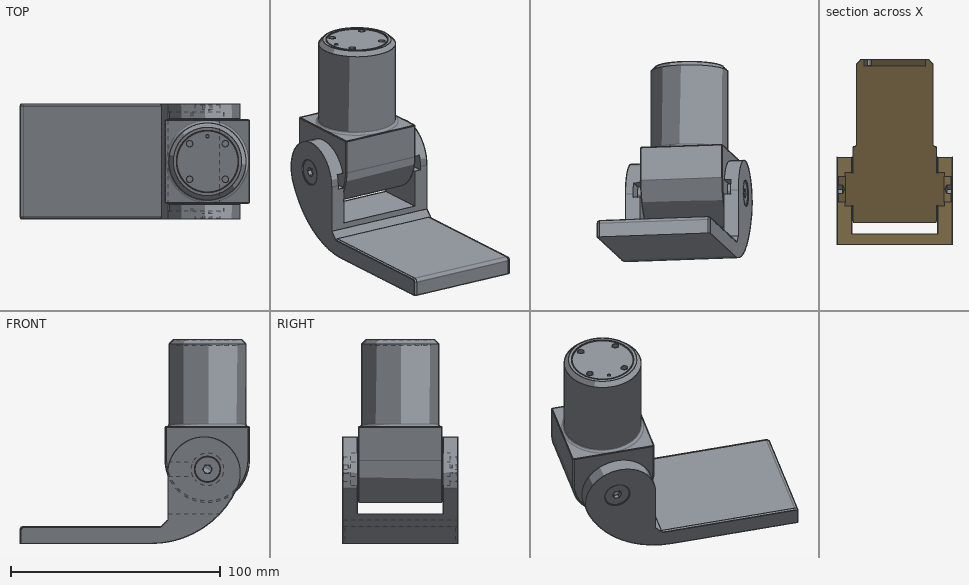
import cadquery as cq
import math


bracket_width = 55.0
plate_end_x = -89.5
plate_top_z = -27.3
plate_bottom_z = -35.5
ear_radius = 17.3
ear_center_x = -1.6
ear_center_z = -1.9
heel_radius = 45.0
inner_bevel = 3.1
plate_end_fillet = 1.6
plate_edge_chamfer = 0.5
window_width = 41.0
window_floor_z = -21.4
slot_height = 7.1

knuckle_width_y = 40.0
knuckle_left_x = -20.3
knuckle_right_x = 20.0
knuckle_top_z = 20.4
knuckle_round_center_z = 4.3
knuckle_rim_inset = 0.8
knuckle_rim_depth = 0.3
knuckle_top_chamfer = 0.3
trunnion_radius = 7.8
trunnion_length = 3.7
post_radius = 18.4
post_top_z = 62.0
post_top_chamfer = 2.1
post_foot_fillet = 1.2

cap_radius = 14.6
cap_thickness = 3.0
cap_hole_count = 4
cap_hole_start_angle = 45
cap_hole_radius = 1.5
cap_hole_circle_radius = 12.0
marker_hole_radius = 0.8

pin_radius = 5.9
socket_across_flats = 3.9
socket_depth = 2.2
socket_tip_depth = 0.8

mouth_bevel_width = 0.3
pin_mouth_depth = 0.4
cap_mouth_depth = 0.3

ear_outer_y = bracket_width / 2
trunnion_end_y = knuckle_width_y / 2 + trunnion_length
pin_head_y = ear_outer_y - pin_mouth_depth
pin_length = pin_head_y - trunnion_end_y
front_face_x = ear_center_x - ear_radius


def cylinder_y(radius, start_y, length):
    """Cylinder around the pivot axis, along +Y from start_y."""
    return cq.Workplane("XZ", origin=(0, start_y, 0)).circle(radius).extrude(-length)


def mouth(hole_radius, depth):
    """Plug that cuts a bevel at a hole mouth in the XY plane; the hole goes down."""
    return (
        cq.Workplane("XY")
        .circle(hole_radius + mouth_bevel_width)
        .workplane(offset=-depth)
        .circle(hole_radius)
        .loft()
    )


def bracket_profile():
    """Side outline; the heel arc is tangent to the plate bottom and to the ear circle."""
    heel_center_z = plate_bottom_z + heel_radius
    drop = ear_center_z - heel_center_z
    reach = math.sqrt((heel_radius - ear_radius) ** 2 - drop**2)
    heel_center_x = ear_center_x - reach
    tangent_angle = math.atan2(drop, reach)
    heel_mid_angle = (tangent_angle - math.pi / 2) / 2
    ear_mid_angle = (tangent_angle + math.pi) / 2

    def on_heel(angle):
        return (
            heel_center_x + heel_radius * math.cos(angle),
            heel_center_z + heel_radius * math.sin(angle),
        )

    ear_mid = (
        ear_center_x + ear_radius * math.cos(ear_mid_angle),
        ear_center_z + ear_radius * math.sin(ear_mid_angle),
    )
    return (
        cq.Workplane("XZ", origin=(0, ear_outer_y, 0))
        .moveTo(plate_end_x, plate_bottom_z)
        .lineTo(heel_center_x, plate_bottom_z)
        .threePointArc(on_heel(heel_mid_angle), on_heel(tangent_angle))
        .threePointArc(ear_mid, (front_face_x, ear_center_z))
        .lineTo(front_face_x, plate_top_z + inner_bevel)
        .lineTo(front_face_x - inner_bevel, plate_top_z)
        .lineTo(plate_end_x, plate_top_z)
        .close()
    )


def make_bracket():
    body = bracket_profile().extrude(bracket_width)

    body = body.faces("<X").edges(">Z").fillet(plate_end_fillet)
    body = body.faces("<X").edges("|Z").chamfer(plate_edge_chamfer)
    plate_middle_x = (plate_end_x + front_face_x) / 2
    for side in (-1, 1):
        edge_point = (plate_middle_x, side * ear_outer_y, plate_top_z)
        body = body.edges(cq.selectors.NearestToPointSelector(edge_point)).chamfer(plate_edge_chamfer)

    window_height = ear_center_z + ear_radius - window_floor_z
    window_length = 2 * heel_radius
    body = body.cut(
        cq.Workplane("XY", origin=(0, 0, window_floor_z))
        .rect(window_length, window_width)
        .extrude(window_height)
    )

    body = body.cut(cylinder_y(trunnion_radius, -trunnion_end_y, 2 * trunnion_end_y))
    body = body.cut(
        cq.Workplane("XY")
        .box(-front_face_x, 2 * trunnion_end_y, slot_height)
        .translate((front_face_x / 2, 0, 0))
    )

    body = body.cut(cylinder_y(pin_radius, -ear_outer_y, bracket_width))
    for side in (-1, 1):
        bevel = mouth(pin_radius, pin_mouth_depth).rotate((0, 0, 0), (1, 0, 0), -side * 90)
        body = body.cut(bevel.translate((0, side * ear_outer_y, 0)))
    return body


def make_housing():
    knuckle_mid_x = (knuckle_left_x + knuckle_right_x) / 2
    round_radius = (knuckle_right_x - knuckle_left_x) / 2
    half_block = (
        cq.Workplane("XZ")
        .moveTo(knuckle_left_x, knuckle_top_z)
        .lineTo(knuckle_left_x, knuckle_round_center_z)
        .threePointArc(
            (knuckle_mid_x, knuckle_round_center_z - round_radius),
            (knuckle_right_x, knuckle_round_center_z),
        )
        .lineTo(knuckle_right_x, knuckle_top_z)
        .close()
        .extrude(knuckle_width_y / 2)
    )
    half_block = (
        half_block.faces("<Y")
        .edges("not(>Z)")
        .chamfer(knuckle_rim_depth, knuckle_rim_inset)
    )
    body = half_block.union(half_block.mirror("XZ"))
    body = body.faces(">Z").edges().chamfer(knuckle_top_chamfer)

    post = (
        cq.Workplane("XY", origin=(0, 0, knuckle_top_z))
        .circle(post_radius)
        .extrude(post_top_z - knuckle_top_z)
        .faces(">Z")
        .chamfer(post_top_chamfer)
    )
    body = body.union(post)
    foot = cq.selectors.NearestToPointSelector((0, 0, knuckle_top_z))
    body = body.edges(foot).fillet(post_foot_fillet)

    body = body.union(cylinder_y(trunnion_radius, -trunnion_end_y, 2 * trunnion_end_y))

    recess = cq.Workplane("XY").circle(cap_radius).extrude(-cap_thickness)
    recess = recess.union(mouth(cap_radius, cap_mouth_depth))
    return body.cut(recess.translate((0, 0, post_top_z)))


def make_cap():
    disc = cq.Workplane("XY").circle(cap_radius).extrude(-cap_thickness)
    screw_holes = (
        cq.Workplane("XY")
        .polarArray(cap_hole_circle_radius, cap_hole_start_angle, 360, cap_hole_count)
        .circle(cap_hole_radius)
        .extrude(-cap_thickness)
    )
    marker_hole = (
        cq.Workplane("XY")
        .center(0, cap_hole_circle_radius)
        .circle(marker_hole_radius)
        .extrude(-cap_thickness)
    )
    return disc.cut(screw_holes).cut(marker_hole).translate((0, 0, post_top_z))


def make_pin(side):
    """Pin in the ear at side -1 (-Y) or 1 (+Y), with a hexagon socket that ends in a drill point."""
    socket_corner_radius = socket_across_flats / math.sqrt(3)
    socket = cq.Workplane("XY").polygon(6, 2 * socket_corner_radius).extrude(-socket_depth)
    tip = cq.Workplane(
        cq.Solid.makeCone(
            socket_across_flats / 2,
            0,
            socket_tip_depth,
            pnt=cq.Vector(0, 0, -socket_depth),
            dir=cq.Vector(0, 0, -1),
        )
    )
    pin = cq.Workplane("XY").circle(pin_radius).extrude(-pin_length).cut(socket).cut(tip)
    return pin.rotate((0, 0, 0), (1, 0, 0), -side * 90).translate((0, side * pin_head_y, 0))


bracket = make_bracket()
housing = make_housing()
cap = make_cap()
pins = [make_pin(side) for side in (-1, 1)]

result = cq.Compound.makeCompound(
    [bracket.val(), housing.val(), cap.val(), *[pin.val() for pin in pins]]
)